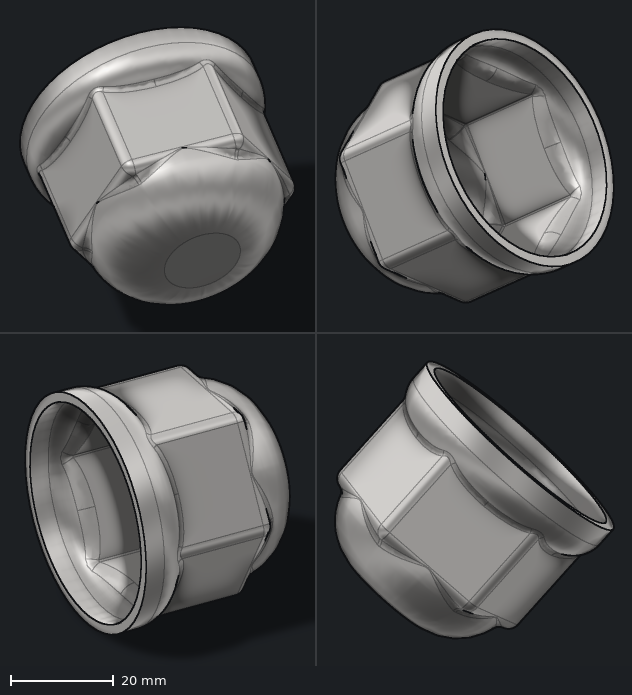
import cadquery as cq
import math


length = 39.3
wall = 2.0
rim_radius = 24.3
rim_length = 4.0
flange_round = 6.3
hex_apothem = 20.3
hex_edge_round = 2.5
dome_round = 12.5
flange_blend = 1.5
dome_blend = 2.2

dome_clearance = 0.02

side_count = 6
sector_angle = 360 / side_count
half_sector = math.radians(sector_angle / 2)
dome_start = length - dome_round
barrel_middle = dome_start / 2
dome_flat_radius = hex_apothem - dome_clearance - dome_round


def rounded_revolution(start, round_start, core_radius, round_radius):
    """Solid of revolution about X whose far rim is rounded by a quarter circle."""
    diagonal = round_radius * math.sqrt(0.5)
    return (
        cq.Workplane("XY")
        .moveTo(start, 0)
        .lineTo(start, core_radius + round_radius)
        .lineTo(round_start, core_radius + round_radius)
        .threePointArc(
            (round_start + diagonal, core_radius + diagonal),
            (round_start + round_radius, core_radius),
        )
        .lineTo(round_start + round_radius, 0)
        .close()
        .revolve(360, (0, 0, 0), (1, 0, 0))
    )


def flange(inset):
    """Round rim that curves in toward the barrel."""
    return rounded_revolution(0, rim_length, rim_radius - flange_round, flange_round - inset)


def dome(inset):
    """Domed end with a small flat at the tip."""
    return rounded_revolution(rim_length, dome_start, dome_flat_radius, dome_round - inset)


def hex_barrel(inset):
    """Hexagonal prism with corners on +Y and -Y, and rounded corners and end edges."""
    edge_round = hex_edge_round - inset
    corner_radius = (hex_apothem - inset) / math.cos(half_sector)
    prism = (
        cq.Workplane("YZ")
        .polygon(side_count, 2 * corner_radius)
        .extrude(dome_start + edge_round)
    )
    prism = prism.edges("|X").fillet(edge_round)
    return prism.faces(">X").edges().fillet(edge_round)


def corner_sector():
    """Wedge around the +Y corner of the hexagon, from the rim to the middle of the barrel."""
    reach = 2 * rim_radius
    half_width = reach * math.tan(half_sector)
    return (
        cq.Workplane("YZ")
        .polyline([(0, 0), (reach, half_width), (reach, -half_width)])
        .close()
        .extrude(barrel_middle)
    )


def domed_half(barrel):
    """Part of the barrel from its middle to the domed tip."""
    keeper = cq.Workplane("YZ").workplane(offset=barrel_middle).circle(2 * rim_radius).extrude(length)
    return barrel.intersect(keeper)


def blend_seams(body, x_min, x_max, radius):
    """Fillet the curved seams that have their centres between two X positions."""
    zone = cq.selectors.BoxSelector(
        (x_min, -rim_radius, -rim_radius), (x_max, rim_radius, rim_radius)
    )
    return body.edges("%BSPLINE").edges(zone).fillet(radius)


def cap_solid(inset):
    """Solid cap with its whole surface moved inward by inset."""
    barrel = hex_barrel(inset).union(dome(inset))
    barrel = blend_seams(barrel, dome_start, length, dome_blend + inset)
    sector = barrel.union(flange(inset)).intersect(corner_sector())
    sector = blend_seams(sector, rim_length, rim_length + flange_round, flange_blend + inset)
    cap = domed_half(barrel)
    for index in range(side_count):
        cap = cap.union(sector.rotate((0, 0, 0), (1, 0, 0), index * sector_angle), clean=False)
    return cap.clean()


result = cap_solid(0).cut(cap_solid(wall))